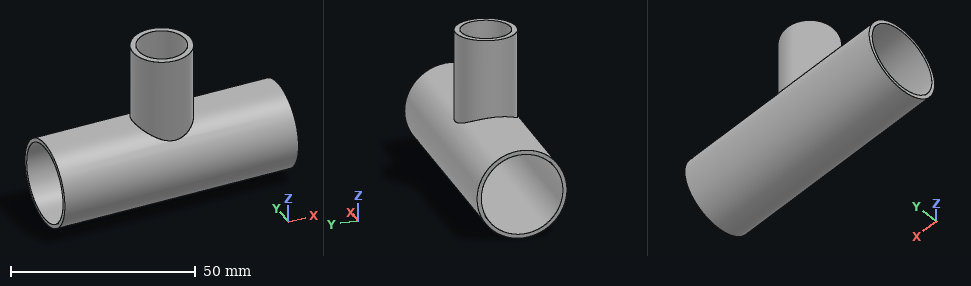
import cadquery as cq

run_length = 70.0
run_outer_diameter = 25.4
run_bore_diameter = 23.0

branch_height = 35.0
branch_outer_diameter = 17.3
branch_bore_diameter = 14.0


def run_cylinder(diameter):
    """Full-length cylinder along the main pipe's axis."""
    return cq.Workplane("YZ").circle(diameter / 2).extrude(run_length / 2, both=True)


def branch_cylinder(diameter):
    """Cylinder from the main pipe's axis up to the branch's open end."""
    return cq.Workplane("XY").circle(diameter / 2).extrude(branch_height)


body = run_cylinder(run_outer_diameter).union(branch_cylinder(branch_outer_diameter))
result = body.cut(run_cylinder(run_bore_diameter)).cut(branch_cylinder(branch_bore_diameter))